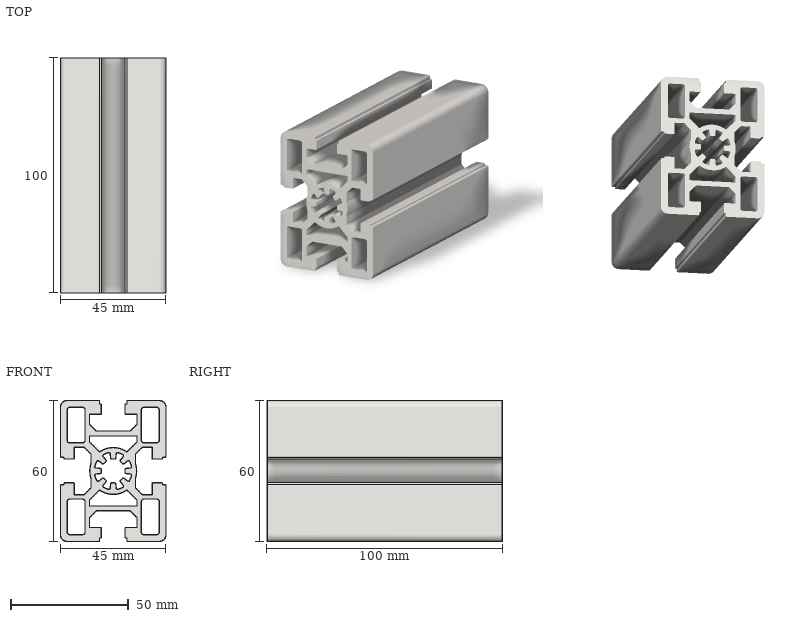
import cadquery as cq
import math

WIDTH = 45.0
LENGTH = 100.0
HEIGHT = 60.0
CORNER_RADIUS = 3.0

MOUTH_HALF = 5.8
MOUTH_DEPTH = 1.5
THROAT_HALF = 5.0
LIP_DEPTH = 6.0
CHAMBER_HALF = 10.0
SLOT_DEPTH = 13.0
CHAMBER_CHAMFER = 2.8
LIP_FILLET = 0.4
TOLERANCE = 0.01

OUTER_WALL = 3.0
INNER_WALL = 2.0
CHAMBER_FILLET = 1.0

SLOT_FLOOR_WALL = 2.2
SPOKE_OFFSET = (WIDTH / 2 - SLOT_DEPTH) - (CHAMBER_HALF - CHAMBER_CHAMFER)

CORE_RADIUS = 10.0
BORE_RADIUS = 8.0
TOOTH_COUNT = 8
TOOTH_TIP_RADIUS = 5.0
TOOTH_TIP_HALF = 1.1
TOOTH_ROOT_HALF = 1.4
TOOTH_FILLET = 0.5


def section():
    """Sketch plane at the +Y end of the extrusion, facing -Y."""
    return cq.Workplane("XZ", origin=(0, LENGTH / 2, 0))


def extrude(sketch):
    return sketch.extrude(LENGTH)


def body():
    return extrude(section().rect(WIDTH, HEIGHT)).edges("|Y").fillet(CORNER_RADIUS)


def t_slot(surface, angle):
    """T-slot cutter opening at height `surface`, turned about Y by `angle`.

    The mouth runs on past the surface so that it cuts cleanly through.
    """
    floor = surface - SLOT_DEPTH
    half_outline = [
        (MOUTH_HALF, surface + MOUTH_DEPTH),
        (MOUTH_HALF, surface - MOUTH_DEPTH),
        (THROAT_HALF, surface - MOUTH_DEPTH),
        (THROAT_HALF, surface - LIP_DEPTH),
        (CHAMBER_HALF, surface - LIP_DEPTH),
        (CHAMBER_HALF, floor + CHAMBER_CHAMFER),
        (CHAMBER_HALF - CHAMBER_CHAMFER, floor),
    ]
    mirrored = [(-x, z) for x, z in reversed(half_outline)]
    slot = extrude(section().polyline(half_outline + mirrored).close())
    return slot.rotate((0, 0, 0), (0, 1, 0), angle)


def is_lip_edge(edge):
    """True for a lengthwise edge at a convex corner of a slot lip."""
    x = abs(edge.Center().x)
    z = abs(edge.Center().z)
    for across, depth in ((x, HEIGHT / 2 - z), (z, WIDTH / 2 - x)):
        corners = ((MOUTH_HALF, 0), (THROAT_HALF, MOUTH_DEPTH), (THROAT_HALF, LIP_DEPTH))
        for corner in corners:
            if math.dist((across, depth), corner) < TOLERANCE:
                return True
    return False


def corner_chambers():
    x_inner = CHAMBER_HALF + INNER_WALL
    x_outer = WIDTH / 2 - OUTER_WALL
    z_inner = CHAMBER_HALF + INNER_WALL
    z_outer = HEIGHT / 2 - OUTER_WALL
    centers = [
        (side_x * (x_inner + x_outer) / 2, side_z * (z_inner + z_outer) / 2)
        for side_x in (-1, 1)
        for side_z in (-1, 1)
    ]
    chambers = section().pushPoints(centers).rect(x_outer - x_inner, z_outer - z_inner)
    return extrude(chambers).edges("|Y").fillet(CHAMBER_FILLET)


def middle_chamber(side):
    """Chamber above (side = 1) or below (side = -1) the core, bounded by two spokes."""
    top = HEIGHT / 2 - SLOT_DEPTH - SLOT_FLOOR_WALL
    outline = [
        (-CHAMBER_HALF, side * top),
        (CHAMBER_HALF, side * top),
        (CHAMBER_HALF, side * (CHAMBER_HALF + SPOKE_OFFSET)),
        (0, side * SPOKE_OFFSET),
        (-CHAMBER_HALF, side * (CHAMBER_HALF + SPOKE_OFFSET)),
    ]
    return extrude(section().polyline(outline).close())


def tooth(angle):
    """Tapered tooth pointing at the axis, with its root buried in the core wall."""
    taper = (TOOTH_ROOT_HALF - TOOTH_TIP_HALF) / (BORE_RADIUS - TOOTH_TIP_RADIUS)
    root = (BORE_RADIUS + CORE_RADIUS) / 2
    root_half = TOOTH_TIP_HALF + taper * (root - TOOTH_TIP_RADIUS)
    outline = [
        (TOOTH_TIP_RADIUS, -TOOTH_TIP_HALF),
        (root, -root_half),
        (root, root_half),
        (TOOTH_TIP_RADIUS, TOOTH_TIP_HALF),
    ]
    solid = extrude(section().polyline(outline).close())
    return solid.rotate((0, 0, 0), (0, 1, 0), angle)


def bore():
    """Bore cutter: a round bar with the teeth removed and its tooth edges rounded."""
    cutter = extrude(section().circle(BORE_RADIUS))
    for index in range(TOOTH_COUNT):
        cutter = cutter.cut(tooth(index * 360 / TOOTH_COUNT))
    return cutter.edges("|Y").fillet(TOOTH_FILLET)


result = body().cut(corner_chambers())
for side in (-1, 1):
    result = result.cut(t_slot(WIDTH / 2, side * 90))
    result = result.cut(middle_chamber(side))
for angle in (0, 180):
    result = result.cut(t_slot(HEIGHT / 2, angle))
lip_edges = result.edges("|Y").filter(is_lip_edge)
result = lip_edges.fillet(LIP_FILLET)

result = result.union(extrude(section().circle(CORE_RADIUS)))
result = result.cut(bore())